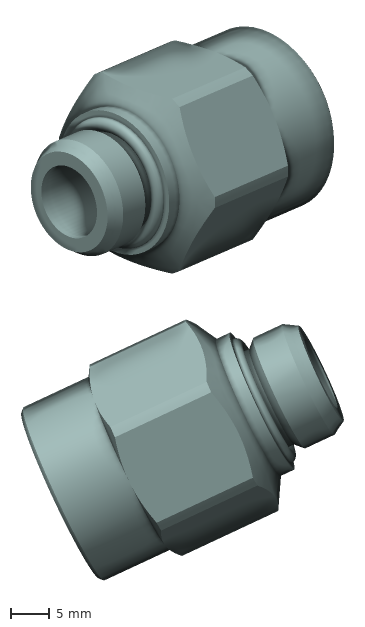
import cadquery as cq
import math

length = 37.7
bore_diameter = 10.0

thread_diameter = 16.0
neck_diameter = 13.8
tip_chamfer_length = 1.8
thread_end = 6.05
neck_start = 7.13

ring_outer_diameter = 18.0
ring_section_radius = 0.98

collar_diameter = 19.8
collar_start = 8.55
collar_end = 10.5

hex_sides = 6
across_flats = 25.0
across_corners = 28.0
hex_end = 27.7
hex_chamfer_angle = 30.0

sleeve_diameter = across_flats
sleeve_chamfer = 0.5


def revolve_about_axis(profile):
    """Turn a closed (radius, distance from tip) outline around the Y axis."""
    return cq.Workplane("XY").polyline(profile).close().revolve(360, (0, 0, 0), (0, 1, 0))


def cylinder(diameter, start, end):
    """Solid cylinder along Y between two distances from the tip."""
    return cq.Workplane("XZ", origin=(0, start, 0)).circle(diameter / 2).extrude(start - end)


def make_spigot():
    """Chamfered thread body, thread runout and relief neck."""
    return revolve_about_axis([
        (0, 0),
        (neck_diameter / 2, 0),
        (thread_diameter / 2, tip_chamfer_length),
        (thread_diameter / 2, thread_end),
        (neck_diameter / 2, neck_start),
        (neck_diameter / 2, collar_start),
        (0, collar_start),
    ])


def make_sealing_ring():
    """Ring of round section, half sunk into the collar face."""
    ring_centre_radius = ring_outer_diameter / 2 - ring_section_radius
    return (
        cq.Workplane("XY")
        .center(ring_centre_radius, collar_start)
        .circle(ring_section_radius)
        .revolve(360, (-ring_centre_radius, 0, 0), (-ring_centre_radius, 1, 0))
    )


def make_hexagon():
    """Hexagonal prism with flats facing +/-Z, trimmed by a turned, chamfered envelope."""
    sharp_corner_diameter = across_flats / math.cos(math.pi / hex_sides)
    prism = (
        cq.Workplane("XZ", origin=(0, collar_end, 0))
        .polygon(hex_sides, sharp_corner_diameter)
        .extrude(collar_end - hex_end)
    )
    slope = math.tan(math.radians(hex_chamfer_angle))
    corner_radius = across_corners / 2
    front_chamfer_length = (corner_radius - collar_diameter / 2) * slope
    back_chamfer_length = (corner_radius - sleeve_diameter / 2) * slope
    envelope = revolve_about_axis([
        (0, collar_end),
        (collar_diameter / 2, collar_end),
        (corner_radius, collar_end + front_chamfer_length),
        (corner_radius, hex_end - back_chamfer_length),
        (sleeve_diameter / 2, hex_end),
        (0, hex_end),
    ])
    return prism.intersect(envelope)


def make_sleeve():
    """Plain cylinder with a chamfered outer rim."""
    return cylinder(sleeve_diameter, hex_end, length).faces(">Y").chamfer(sleeve_chamfer)


body = (
    make_spigot()
    .union(make_sealing_ring())
    .union(cylinder(collar_diameter, collar_start, collar_end))
    .union(make_hexagon())
    .union(make_sleeve())
)
through_bore = cylinder(bore_diameter, 0, length)
result = body.cut(through_bore).translate((0, -length / 2, 0))